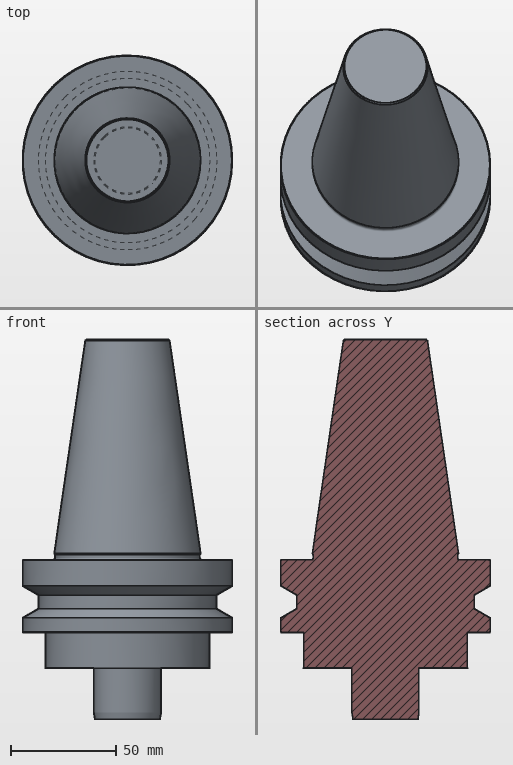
import cadquery as cq
import math

total_height = 180.8
flange_bottom = 41.2
flange_height = 34.7
flange_top = flange_bottom + flange_height
collar_bottom = 24.4
gauge_gap = 3.0
gauge_level = flange_top + gauge_gap

flange_radius = 100.0 / 2
flange_chamfer = 0.4
groove_radius = 85 / 2
groove_floor_bottom = 52.6
groove_floor_height = 6.5
groove_floor_top = groove_floor_bottom + groove_floor_height
groove_flank_height = 4.3

collar_radius = 78.3 / 2
pilot_radius = 32.2 / 2
pilot_chamfer_height = 3.3
pilot_chamfer_width = 0.5

taper_large_radius = 69.8 / 2
taper_ratio = 7 / 24
taper_small_radius = taper_large_radius - taper_ratio * (total_height - gauge_level) / 2
taper_end_chamfer = 0.7
taper_end_edge_radius = taper_small_radius + taper_ratio * taper_end_chamfer / 2

relief_radius = 69.0 / 2
relief_slope_height = 0.7
relief_fillet = 0.9
fillet_mid_offset = relief_fillet * (1 - math.sqrt(0.5))

lower_outline = [
    (0, 0),
    (pilot_radius - pilot_chamfer_width, 0),
    (pilot_radius, pilot_chamfer_height),
    (pilot_radius, collar_bottom),
    (collar_radius, collar_bottom),
    (collar_radius, flange_bottom),
    (flange_radius - flange_chamfer, flange_bottom),
    (flange_radius, flange_bottom + flange_chamfer),
    (flange_radius, groove_floor_bottom - groove_flank_height),
    (groove_radius, groove_floor_bottom),
    (groove_radius, groove_floor_top),
    (flange_radius, groove_floor_top + groove_flank_height),
    (flange_radius, flange_top - flange_chamfer),
    (flange_radius - flange_chamfer, flange_top),
    (relief_radius + relief_fillet, flange_top),
]

fillet_mid = (relief_radius + fillet_mid_offset, flange_top + fillet_mid_offset)
fillet_end = (relief_radius, flange_top + relief_fillet)

upper_outline = [
    (relief_radius, gauge_level - relief_slope_height),
    (taper_large_radius, gauge_level),
    (taper_end_edge_radius, total_height - taper_end_chamfer),
    (taper_end_edge_radius - taper_end_chamfer, total_height),
    (0, total_height),
]

half_section = (
    cq.Workplane("XZ")
    .polyline(lower_outline)
    .threePointArc(fillet_mid, fillet_end)
    .polyline(upper_outline, includeCurrent=True)
    .close()
)

result = half_section.revolve(360, (0, 0), (0, 1))